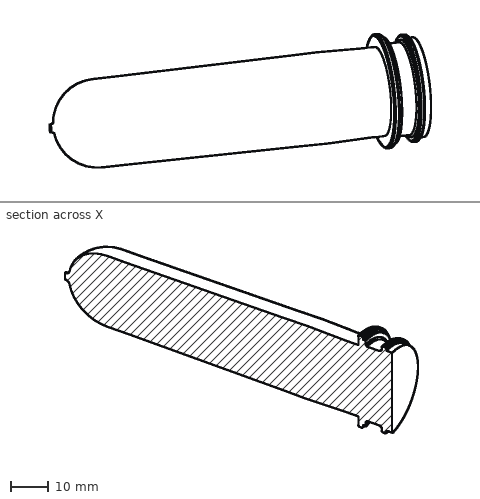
import cadquery as cq

length = 101.6

rim_radius = 13.4
neck_radius = 25.0 / 2
bead_radius = 28.9 / 2
bead_start = 1.8
bead_thickness = 1.5
bead_bevel = 0.4
bead_foot_radius = 13.1
bead_foot_length = 0.5

step_radius = 28.7 / 2
step_start = 8.2
step_foot_radius = 13.0
step_foot_length = 0.4
flange_radius = 30.7 / 2
flange_start = 9.0
flange_thickness = 1.6
flange_bevel = 0.4

throat_radius = 24.0 / 2
throat_end = 14.5
swell_radius = 12.3
swell_end = 26.5
dome_radius = 11.9
dome_start = 88.6

nub_radius = 1.1
nub_base_radius = 2.1


def bevelled_disc(radius, start, thickness, bevel):
    """Disc with both outer edges bevelled; start is its distance from the mouth."""
    disc = cq.Workplane("XZ", origin=(0, -start, 0)).circle(radius).extrude(thickness)
    return disc.edges().chamfer(bevel)


def make_core():
    """Revolve the rim, neck, body and domed tip as one profile."""
    foot_start = bead_start + bead_thickness
    foot_end = foot_start + bead_foot_length
    nub_base_height = (dome_radius**2 - nub_base_radius**2) ** 0.5
    nub_base_depth = dome_start + nub_base_height
    dome_middle = dome_radius * 0.5**0.5
    return (
        cq.Workplane("XY")
        .lineTo(rim_radius, 0)
        .lineTo(rim_radius, -foot_start)
        .lineTo(bead_foot_radius, -foot_start)
        .lineTo(neck_radius, -foot_end)
        .lineTo(neck_radius, -step_start + step_foot_length)
        .lineTo(step_foot_radius, -step_start)
        .lineTo(step_foot_radius, -flange_start)
        .lineTo(throat_radius, -flange_start)
        .lineTo(throat_radius, -throat_end)
        .spline(
            [(swell_radius, -swell_end)],
            tangents=[(0, -1), (0, -1)],
            includeCurrent=True,
        )
        .lineTo(dome_radius, -dome_start)
        .threePointArc(
            (dome_middle, -dome_start - dome_middle),
            (nub_base_radius, -nub_base_depth),
        )
        .tangentArcPoint((nub_radius, -length), relative=False)
        .lineTo(0, -length)
        .close()
        .revolve(360, (0, 0, 0), (0, 1, 0))
    )


bead = bevelled_disc(bead_radius, bead_start, bead_thickness, bead_bevel)
flange = bevelled_disc(flange_radius, flange_start, flange_thickness, flange_bevel)
flange_step = (
    cq.Workplane("XZ", origin=(0, -step_start, 0))
    .circle(step_radius)
    .extrude(flange_start - step_start)
)

result = make_core().union(bead).union(flange_step).union(flange)